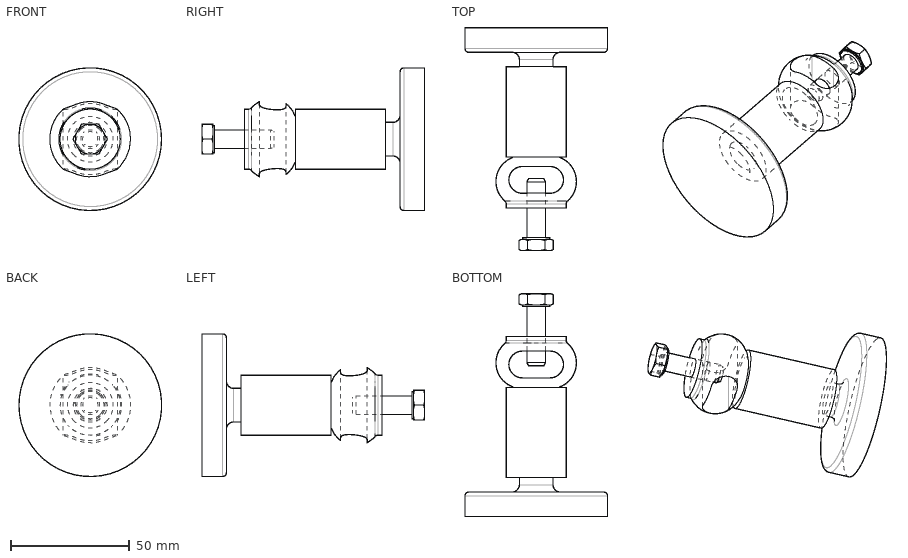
import cadquery as cq
import math

total_length = 94.1

plate_diameter = 60.3
plate_radius = plate_diameter / 2
plate_thickness = 10.4
plate_edge_fillet = 1.7
neck_radius = 7.15
neck_fillet = 3.0

edge_margin = 0.1

sleeve_start = 16.5
sleeve_end = 54.6
sleeve_radius = 12.7
bulge_radius = 17.0
bulge_start_radius = 9.6
bulge_center = 64.9
collar_end = 76.1
collar_fillet = 1.5
slot_start = 58.6
slot_end = 69.8
slot_length = 22.95

shank_radius = 3.95
tip_radius = 3.2
tip_start = 63.6
tip_chamfer_length = 1.4
washer_face_start = 88.6
washer_face_radius = 5.7
head_start = 89.3
head_across_flats = 12.6
head_chamfer_length = 0.5


def cylinder(radius, start, end):
    """Cylinder on the shared axis between two stations."""
    return cq.Workplane("XZ", origin=(0, -start, 0)).circle(radius).extrude(end - start)


def revolve_about_axis(profile):
    """Turn an XY profile about the Y axis."""
    return profile.close().revolve(360, (0, 0, 0), (0, 1, 0))


def make_plate():
    """Round wall plate with a filleted neck that butts against the sleeve."""
    plate = cylinder(plate_radius, 0, plate_thickness)
    plate = plate.faces("<Y").edges().fillet(plate_edge_fillet)
    plate = plate.union(cylinder(neck_radius, plate_thickness, sleeve_start))
    neck_root = cq.selectors.BoxSelector(
        (-2 * neck_radius, -plate_thickness - edge_margin, -2 * neck_radius),
        (2 * neck_radius, -plate_thickness + edge_margin, 2 * neck_radius),
        boundingbox=True,
    )
    return plate.edges(neck_root).fillet(neck_fillet)


def make_turned_holder():
    """Sleeve, barrel-shaped bulge and collar, turned as one solid."""
    rise = bulge_radius - bulge_start_radius
    half_run = bulge_center - sleeve_end
    arc_radius = (rise**2 + half_run**2) / (2 * rise)
    arc_center_radius = bulge_radius - arc_radius
    collar_start = bulge_center + math.sqrt(arc_radius**2 - (sleeve_radius - arc_center_radius) ** 2)

    holder = revolve_about_axis(
        cq.Workplane("XY")
        .moveTo(0, -sleeve_start)
        .lineTo(sleeve_radius, -sleeve_start)
        .lineTo(sleeve_radius, -sleeve_end)
        .lineTo(bulge_start_radius, -sleeve_end)
        .threePointArc((bulge_radius, -bulge_center), (sleeve_radius, -collar_start))
        .lineTo(sleeve_radius, -collar_end)
        .lineTo(0, -collar_end)
    )
    collar_root = cq.selectors.BoxSelector(
        (-bulge_radius, -collar_start - edge_margin, -bulge_radius),
        (bulge_radius, -collar_start + edge_margin, bulge_radius),
        boundingbox=True,
    )
    return holder.edges(collar_root).fillet(collar_fillet)


def make_cross_slot():
    """Round-ended slot through the bulge along Z."""
    return (
        cq.Workplane("XY")
        .center(0, -(slot_start + slot_end) / 2)
        .slot2D(slot_length, slot_end - slot_start)
        .extrude(bulge_radius, both=True)
    )


def make_holder():
    """Turned holder with its cross slot and the bolt hole through the end wall."""
    bolt_hole = cylinder(shank_radius, slot_start, collar_end)
    return make_turned_holder().cut(make_cross_slot()).cut(bolt_hole)


def make_bolt_head():
    """Hexagon with corners along X, chamfered conically at both ends."""
    flat_radius = head_across_flats / 2
    corner_radius = flat_radius / math.cos(math.pi / 6)
    hexagon = (
        cq.Workplane("XZ", origin=(0, -head_start, 0))
        .polygon(6, 2 * corner_radius)
        .extrude(total_length - head_start)
    )
    chamfer_envelope = revolve_about_axis(
        cq.Workplane("XY")
        .moveTo(0, -head_start)
        .lineTo(flat_radius, -head_start)
        .lineTo(corner_radius, -head_start - head_chamfer_length)
        .lineTo(corner_radius, -total_length + head_chamfer_length)
        .lineTo(flat_radius, -total_length)
        .lineTo(0, -total_length)
    )
    return hexagon.intersect(chamfer_envelope)


def make_bolt():
    """Clamping bolt with a tapered tip, washer face and hexagon head."""
    shank = revolve_about_axis(
        cq.Workplane("XY")
        .moveTo(0, -tip_start)
        .lineTo(tip_radius, -tip_start)
        .lineTo(shank_radius, -tip_start - tip_chamfer_length)
        .lineTo(shank_radius, -washer_face_start)
        .lineTo(0, -washer_face_start)
    )
    washer_face = cylinder(washer_face_radius, washer_face_start, head_start)
    return shank.union(washer_face).union(make_bolt_head())


plate = make_plate()
holder = make_holder()
bolt = make_bolt()

result = cq.Compound.makeCompound([plate.solids().val(), holder.solids().val(), bolt.solids().val()])